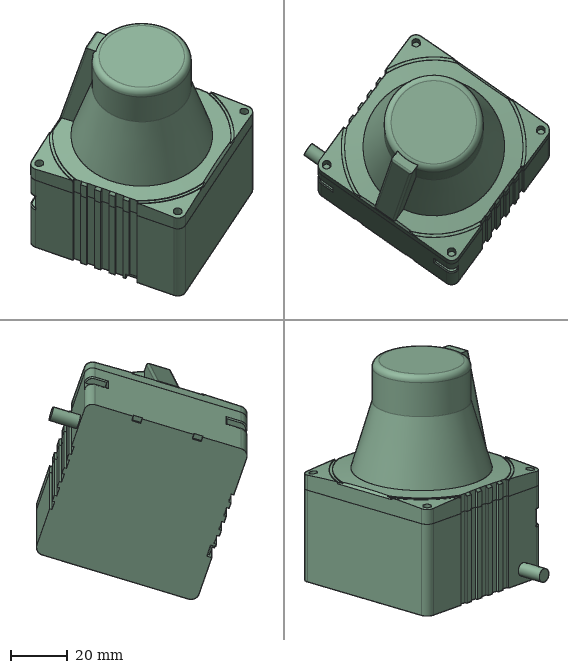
import cadquery as cq
import math

SIDE = 60.0
HALF = SIDE / 2
CORNER_RADIUS = 3.0
TOTAL_HEIGHT = 81.1
PARTING_HEIGHT = 34.1

ROOF_HEIGHT = 41.1
ROOF_SPHERE_RADIUS = 364.9
ROOF_REACH = HALF * math.sqrt(2)
GROOVE_INNER_RADIUS = 31.4
GROOVE_OUTER_RADIUS = 32.5
GROOVE_DEPTH = 0.3
BEVEL_WIDTH = 0.9
BEVEL_FOOT_HEIGHT = 39.8

DOME_FOOT_RADIUS = 24.9
DOME_RADIUS = 17.4
DOME_SHOULDER_HEIGHT = 66.0
DOME_EDGE_RADIUS = 2.4

FIN_WIDTH = 8.8
FIN_TOP_HEIGHT = 80.7
FIN_TOP_X = -19.8
FIN_FOOT_X = -HALF
FIN_FOOT_HEIGHT = 40.1
FIN_ROOT_X = -DOME_RADIUS / 2
FIN_EDGE_RADIUS = 0.8

SCREW_DIAMETER = 3.0
SCREW_OFFSET = 27.0

RECESS_WIDTH = 25.0
RECESS_DEPTH = 0.9
RIB_WIDTH = 2.35
RIB_PITCH = 5.5
RIB_COUNT = 4

POCKET_DEPTH = CORNER_RADIUS
POCKET_BOTTOM = 19.5
POCKET_HEIGHT = 5.8
POCKET_BEVEL = 0.5
FRONT_POCKET_LENGTH = 8.1
BACK_POCKET_LENGTH = 7.45
CLEARANCE = 0.1
POCKET_HOLE_DIAMETER = 2.5
POCKET_HOLE_DEPTH = 3.0
POCKET_HOLE_HEIGHT = 22.45
FRONT_POCKET_HOLE_Y = -24.5
BACK_POCKET_HOLE_Y = 25.05

NOTCH_DEPTH = 1.8
SIDE_NOTCH_WIDTH = 3.25
SIDE_NOTCH_HEIGHT = 1.0
SIDE_NOTCH_OFFSET = 11.2
FRONT_NOTCH_LEFT = 8.1
FRONT_NOTCH_HEIGHT = 2.0

CABLE_DIAMETER = 5.0
CABLE_LENGTH = 10.0
CABLE_X = -20.0
CABLE_HEIGHT = 5.1


def box_between(low, high):
    """Box between two opposite corners."""
    sizes = [top - bottom for bottom, top in zip(low, high)]
    return cq.Workplane("XY").box(*sizes, centered=False).translate(low)


def roof_height(radius):
    """Height of the roof sphere at a distance from the Z axis."""
    foot_rise = math.sqrt(ROOF_SPHERE_RADIUS**2 - DOME_FOOT_RADIUS**2)
    return ROOF_HEIGHT - foot_rise + math.sqrt(ROOF_SPHERE_RADIUS**2 - radius**2)


def revolved(points):
    """Solid of revolution about Z from (radius, height) points."""
    return cq.Workplane("XZ").polyline(points).close().revolve(360, (0, 0), (0, 1))


def housing_block(bottom, top):
    """Round-cornered block with the ribbed recesses in its -Y and +Y sides."""
    block = (
        cq.Workplane("XY", origin=(0, 0, bottom))
        .rect(SIDE, SIDE)
        .extrude(top - bottom)
        .edges("|Z")
        .fillet(CORNER_RADIUS)
    )
    for side in (-1, 1):
        middle_y = side * (HALF - RECESS_DEPTH / 2)
        plane = cq.Workplane("XY", origin=(0, middle_y, bottom))
        recess = plane.rect(RECESS_WIDTH, RECESS_DEPTH).extrude(top - bottom)
        ribs = (
            plane.rarray(RIB_PITCH, 0.8, RIB_COUNT, 1)
            .rect(RIB_WIDTH, RECESS_DEPTH)
            .extrude(top - bottom)
        )
        block = block.cut(recess.cut(ribs))
    return block


def below_roof():
    """Everything under the roof sphere, out to the corners of the housing."""
    middle_radius = (DOME_FOOT_RADIUS + ROOF_REACH) / 2
    return (
        cq.Workplane("XZ")
        .moveTo(0, 0)
        .lineTo(ROOF_REACH, 0)
        .lineTo(ROOF_REACH, roof_height(ROOF_REACH))
        .threePointArc(
            (middle_radius, roof_height(middle_radius)),
            (DOME_FOOT_RADIUS, ROOF_HEIGHT),
        )
        .lineTo(0, ROOF_HEIGHT)
        .close()
        .revolve(360, (0, 0), (0, 1))
    )


def roof_groove():
    inner_height = roof_height(GROOVE_INNER_RADIUS)
    outer_height = roof_height(GROOVE_OUTER_RADIUS)
    return revolved([
        (GROOVE_INNER_RADIUS, inner_height - GROOVE_DEPTH),
        (GROOVE_OUTER_RADIUS, outer_height - GROOVE_DEPTH),
        (GROOVE_OUTER_RADIUS, ROOF_HEIGHT),
        (GROOVE_INNER_RADIUS, ROOF_HEIGHT),
    ])


def roof_bevels():
    """Wedges off the four roof edges, limited to the disc inside the groove."""
    inner = HALF - BEVEL_WIDTH
    upper = roof_height(inner)
    slope = (upper - BEVEL_FOOT_HEIGHT) / BEVEL_WIDTH
    wedge = (
        cq.Workplane("XZ")
        .polyline([
            (HALF + BEVEL_WIDTH, BEVEL_FOOT_HEIGHT - slope * BEVEL_WIDTH),
            (HALF + BEVEL_WIDTH, upper),
            (inner, upper),
        ])
        .close()
        .extrude(HALF, both=True)
    )
    wedges = wedge
    for quarter in (1, 2, 3):
        wedges = wedges.union(wedge.rotate((0, 0, 0), (0, 0, 1), 90 * quarter))
    disc = cq.Workplane("XY").circle(GROOVE_OUTER_RADIUS).extrude(TOTAL_HEIGHT)
    return wedges.intersect(disc)


def dome():
    edge_height = TOTAL_HEIGHT - DOME_EDGE_RADIUS
    arc_offset = DOME_EDGE_RADIUS * (1 - math.sqrt(0.5))
    return (
        cq.Workplane("XZ")
        .moveTo(0, PARTING_HEIGHT)
        .lineTo(DOME_FOOT_RADIUS, PARTING_HEIGHT)
        .lineTo(DOME_FOOT_RADIUS, ROOF_HEIGHT)
        .lineTo(DOME_RADIUS, DOME_SHOULDER_HEIGHT)
        .lineTo(DOME_RADIUS, edge_height)
        .threePointArc(
            (DOME_RADIUS - arc_offset, TOTAL_HEIGHT - arc_offset),
            (DOME_RADIUS - DOME_EDGE_RADIUS, TOTAL_HEIGHT),
        )
        .lineTo(0, TOTAL_HEIGHT)
        .close()
        .revolve(360, (0, 0), (0, 1))
    )


def fin():
    return (
        cq.Workplane("XZ")
        .polyline([
            (FIN_FOOT_X, FIN_FOOT_HEIGHT),
            (FIN_TOP_X, FIN_TOP_HEIGHT),
            (FIN_ROOT_X, FIN_TOP_HEIGHT),
            (FIN_ROOT_X, FIN_FOOT_HEIGHT),
        ])
        .close()
        .extrude(FIN_WIDTH / 2, both=True)
        .faces("<X")
        .edges("not <Z")
        .fillet(FIN_EDGE_RADIUS)
    )


def make_cover():
    screw_holes = (
        cq.Workplane("XY", origin=(0, 0, PARTING_HEIGHT))
        .rect(2 * SCREW_OFFSET, 2 * SCREW_OFFSET, forConstruction=True)
        .vertices()
        .circle(SCREW_DIAMETER / 2)
        .extrude(ROOF_HEIGHT - PARTING_HEIGHT)
    )
    return (
        housing_block(PARTING_HEIGHT, ROOF_HEIGHT)
        .intersect(below_roof())
        .cut(roof_groove())
        .cut(roof_bevels())
        .union(dome())
        .union(fin())
        .cut(screw_holes)
    )


def cut_corner_pocket(base, y_side, length, hole_y):
    """Cut a pocket, open round one corner of the -X side, with a bevelled rim and a blind hole."""
    floor_x = -HALF + POCKET_DEPTH
    pocket_top = POCKET_BOTTOM + POCKET_HEIGHT
    near_y, far_y = sorted((y_side * (HALF - length), y_side * HALF))
    pocket = box_between((-HALF, near_y, POCKET_BOTTOM), (floor_x, far_y, pocket_top))
    hole = (
        cq.Workplane("YZ", origin=(floor_x, hole_y, POCKET_HOLE_HEIGHT))
        .circle(POCKET_HOLE_DIAMETER / 2)
        .extrude(POCKET_HOLE_DEPTH)
    )
    pocket_front = cq.selectors.BoxSelector(
        (-HALF - CLEARANCE, near_y - CLEARANCE, POCKET_BOTTOM - CLEARANCE),
        (floor_x - CLEARANCE, far_y + CLEARANCE, pocket_top + CLEARANCE),
    )
    return base.cut(pocket).edges(pocket_front).edges("not |X").chamfer(POCKET_BEVEL).cut(hole)


def bottom_notches():
    notches = box_between(
        (FRONT_NOTCH_LEFT, -HALF, 0),
        (RECESS_WIDTH / 2, -HALF + NOTCH_DEPTH, FRONT_NOTCH_HEIGHT),
    )
    for side in (-1, 1):
        middle = side * SIDE_NOTCH_OFFSET
        notches = notches.union(box_between(
            (-HALF, middle - SIDE_NOTCH_WIDTH / 2, 0),
            (-HALF + NOTCH_DEPTH, middle + SIDE_NOTCH_WIDTH / 2, SIDE_NOTCH_HEIGHT),
        ))
    return notches


def make_base():
    cable = (
        cq.Workplane("XZ", origin=(CABLE_X, HALF - CORNER_RADIUS, CABLE_HEIGHT))
        .circle(CABLE_DIAMETER / 2)
        .extrude(-(CABLE_LENGTH + CORNER_RADIUS))
    )
    block = housing_block(0, PARTING_HEIGHT)
    block = cut_corner_pocket(block, -1, FRONT_POCKET_LENGTH, FRONT_POCKET_HOLE_Y)
    block = cut_corner_pocket(block, 1, BACK_POCKET_LENGTH, BACK_POCKET_HOLE_Y)
    return block.cut(bottom_notches()).union(cable)


cover = make_cover()
base = make_base()
result = cq.Compound.makeCompound([base.val(), cover.val()])